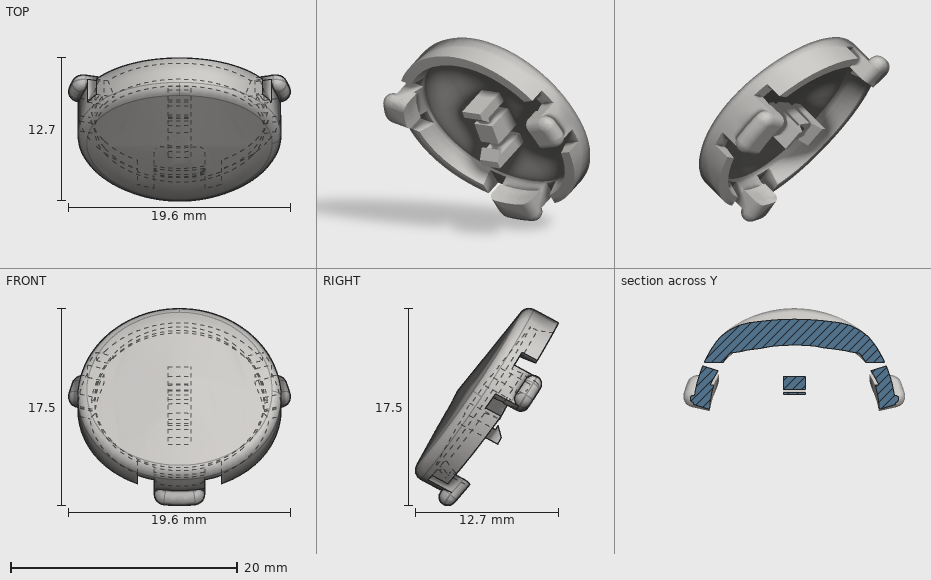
import cadquery as cq
import math

tilt_angle = 61.7

outer_diameter = 18.0
outer_radius = outer_diameter / 2
wall = 1.5
inner_radius = outer_radius - wall
edge_fillet = 0.92

apex_y = -0.55
apex_height = 5.18
roof_slope_x = 0.14
roof_slope_y = 0.088
roof_lean = 5.6

rim_radius = 76.13
rim_low_y = 8.63
rim_low_height = 0.15
rim_chamfer_height = 0.5
rim_chamfer_width = 1.33

gap_width = 1.47
gap_height = 1.53
hook_height = 1.53
hook_radius = 10.0
hook_root_radius = 5.89
hook_corner_fillet = 1.0
hook_edge_fillet = 0.75
front_latch_angle = -90.0
front_latch_width = 4.47
side_latch_angle = 15.3
side_latch_width = 3.14
latches = [
    (front_latch_angle, front_latch_width),
    (side_latch_angle, side_latch_width),
    (180.0 - side_latch_angle, side_latch_width),
]

clip_outer_y = 3.02
clip_tip_y = 2.35
clip_stem_y = 1.98
clip_barb_y = 1.53
clip_bottom = -0.2
clip_barb_height = 0.57
clip_barb_top = 0.6
clip_width = 2.0
rib_length = 2.0
rib_bottom = 0.7

tall = 11.77
span = 23.55


def below_roof(drop):
    """Everything below the roof cone lowered by the given drop."""
    cone = cq.Solid.makeCone(tall, 0, tall)
    cone = cone.rotate(cq.Vector(0, 0, 0), cq.Vector(0, 0, 1), 90)
    stretch = cq.Matrix([
        [1 / roof_slope_x, 0, 0, 0],
        [0, 1 / roof_slope_y, 0, 0],
        [0, 0, 1, -tall],
    ])
    cone = cone.transformGeometry(stretch)
    cone = cone.rotate(cq.Vector(0, 0, 0), cq.Vector(1, 0, 0), -roof_lean)
    return cq.Workplane(cone).translate((0, apex_y, apex_height - drop))


def above_rim(drop):
    """Everything above the rim surface lowered by the given drop."""
    return (
        cq.Workplane("YZ")
        .center(rim_low_y, rim_low_height + rim_radius)
        .circle(rim_radius + drop)
        .extrude(span / 2, both=True)
    )


def upright(radius):
    """Tall cylinder on the cap axis."""
    return cq.Workplane("XY").circle(radius).extrude(tall, both=True)


def strip(angle, width):
    """Tall slab reaching from the axis outward in one direction."""
    slab = cq.Workplane("XY").box(span / 2, width, 2 * tall, centered=(False, True, True))
    return slab.rotate((0, 0, 0), (0, 0, 1), angle)


def make_shell():
    shell = upright(outer_radius).intersect(below_roof(0))
    shell = shell.faces("%CYLINDER").edges(">Z").fillet(edge_fillet)
    shell = shell.intersect(above_rim(0))
    shell = shell.cut(upright(inner_radius).intersect(below_roof(wall)))
    return shell.edges("<Z").chamfer(rim_chamfer_height, rim_chamfer_width)


def make_gaps(angle, width):
    """The pair of wall openings on both sides of a tab."""
    gaps = strip(angle, width + 2 * gap_width).cut(strip(angle, width))
    return gaps.cut(above_rim(-gap_height))


def make_tab(angle, width):
    """Wall piece that carries the tab past the chamfered rim and down into its hook."""
    ring = upright(outer_radius).cut(upright(inner_radius))
    band = above_rim(hook_height / 2).cut(above_rim(-rim_chamfer_height))
    return ring.intersect(strip(angle, width)).intersect(band)


def beyond_root(edge):
    centre = edge.Center()
    return math.hypot(centre.x, centre.y) > (hook_root_radius + inner_radius) / 2


def make_hook(angle, width):
    """Rounded hook, started inside the wall so that its rounding runs out at the inner face."""
    hook = upright(hook_radius).intersect(strip(0, width))
    hook = hook.edges("|Z").edges(">X").fillet(hook_corner_fillet)
    hook = hook.cut(upright(hook_root_radius))
    hook = hook.rotate((0, 0, 0), (0, 0, 1), angle)
    hook = hook.intersect(above_rim(hook_height)).cut(above_rim(0))
    hook = hook.edges("not |Z").filter(beyond_root).fillet(hook_edge_fillet)
    return hook.cut(upright(inner_radius))


def make_clip():
    profile = [
        (-clip_outer_y, clip_bottom),
        (-clip_tip_y, clip_bottom),
        (-clip_barb_y, clip_barb_height),
        (-clip_stem_y, clip_barb_top),
        (-clip_stem_y, tall),
        (-clip_outer_y, tall),
    ]
    return cq.Workplane("YZ").polyline(profile).close().extrude(clip_width / 2, both=True)


def make_clips_and_rib():
    rib = cq.Workplane("XY", origin=(0, 0, rib_bottom)).rect(clip_width, rib_length).extrude(tall)
    clips = make_clip().union(make_clip().mirror("XZ"))
    return clips.union(rib).intersect(below_roof(wall / 2))


cap = make_shell()
for latch_angle, latch_width in latches:
    cap = cap.cut(make_gaps(latch_angle, latch_width))
for latch_angle, latch_width in latches:
    cap = cap.union(make_tab(latch_angle, latch_width))
    cap = cap.union(make_hook(latch_angle, latch_width))
cap = cap.union(make_clips_and_rib())

result = cap.rotate((0, 0, 0), (1, 0, 0), tilt_angle)